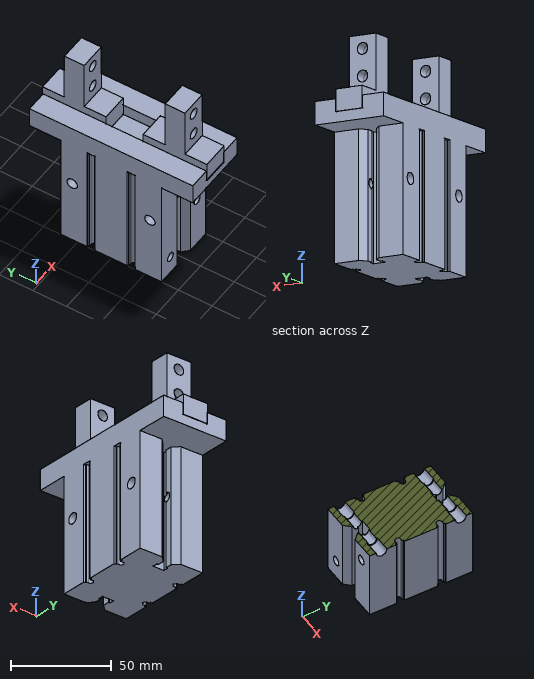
import cadquery as cq

HOUSING_WIDTH = 40.0
BODY_LENGTH = 60.0
BODY_HEIGHT = 66.9
FLANGE_LENGTH = 97.1
FLANGE_TOP = 79.0

JAW_WIDTH = 15.5
JAW_TOP = 113.0
JAW_BOTTOM = 72.3
JAW_SHOULDER = 83.8
JAW_SPAN = 97.7
JAW_BASE_LENGTH = 37.9
POST_LENGTH = 11.9
JAW_HOLE_DIAMETER = 6.0
JAW_HOLE_PITCH = 14.0
JAW_HOLE_FROM_TOP = 7.0
JAW_CENTER = (JAW_SPAN - JAW_BASE_LENGTH) / 2

END_SLOT_WIDTH = 5.0
END_SLOT_CHAMFER = 3.5
END_SLOT_NECK_DEPTH = 7.3
END_SLOT_DEPTH = 10.2
END_SLOT_INNER_WIDTH = 6.8

GROOVE_OFFSET = 12.0
GROOVE_MOUTH_WIDTH = 4.7
GROOVE_MOUTH_DEPTH = 1.0
GROOVE_WIDTH = 3.0
GROOVE_WALL_END = 2.5

MOUNT_HOLE_OFFSET = 23.0
MOUNT_HOLE_HEIGHT = 40.0
MOUNT_HOLE_DIAMETER = 5.1
MOUNT_BORE_DIAMETER = 6.1
MOUNT_BORE_DEPTH = 9.0

PORT_DIAMETER = 5.1
PORT_DEPTH = 9.0
PORT_OFFSET = 12.0
LOWER_PORT_HEIGHT = 11.0
UPPER_PORT_HEIGHT = 31.0


def box_on(bottom, top, width, length):
    """Box centred on the Z axis between two heights."""
    return cq.Workplane("XY").workplane(offset=bottom).rect(width, length).extrude(top - bottom)


def end_slot():
    """Chamfered T-slot entering the -Y end face."""
    neck = END_SLOT_WIDTH / 2
    inner = END_SLOT_INNER_WIDTH / 2
    mouth = neck + END_SLOT_CHAMFER
    face = -BODY_LENGTH / 2
    half_profile = [
        (mouth, face),
        (neck, face + END_SLOT_CHAMFER),
        (neck, face + END_SLOT_NECK_DEPTH),
        (inner, face + END_SLOT_NECK_DEPTH),
        (inner, face + END_SLOT_DEPTH),
    ]
    mirrored = [(-x, y) for x, y in reversed(half_profile)]
    return cq.Workplane("XY").polyline(half_profile + mirrored).close().extrude(BODY_HEIGHT)


def sensor_groove(y):
    """Stepped groove with a round bottom entering the -X side face."""
    face = -HOUSING_WIDTH / 2
    mouth = GROOVE_MOUTH_WIDTH / 2
    wall = GROOVE_WIDTH / 2
    ledge = face + GROOVE_MOUTH_DEPTH
    wall_end = face + GROOVE_WALL_END
    return (
        cq.Workplane("XY")
        .moveTo(face, y - mouth)
        .lineTo(ledge, y - mouth)
        .lineTo(ledge, y - wall)
        .lineTo(wall_end, y - wall)
        .threePointArc((wall_end + wall, y), (wall_end, y + wall))
        .lineTo(ledge, y + wall)
        .lineTo(ledge, y + mouth)
        .lineTo(face, y + mouth)
        .close()
        .extrude(BODY_HEIGHT)
    )


def mounting_hole(y):
    """Through hole along X with a counterbore at each end."""
    plane = cq.Workplane("YZ").workplane(offset=-HOUSING_WIDTH / 2).center(y, MOUNT_HOLE_HEIGHT)
    hole = plane.circle(MOUNT_HOLE_DIAMETER / 2).extrude(HOUSING_WIDTH)
    bore = plane.circle(MOUNT_BORE_DIAMETER / 2).extrude(MOUNT_BORE_DEPTH)
    return hole.union(bore).union(bore.mirror("YZ"))


def air_port(x, z):
    """Blind round port in the -Y end face."""
    port = cq.Workplane("XZ").center(x, z).circle(PORT_DIAMETER / 2).extrude(PORT_DEPTH)
    return port.translate((0, PORT_DEPTH - BODY_LENGTH / 2, 0))


def make_housing():
    housing = box_on(0, BODY_HEIGHT, HOUSING_WIDTH, BODY_LENGTH)
    housing = housing.union(box_on(BODY_HEIGHT, FLANGE_TOP, HOUSING_WIDTH, FLANGE_LENGTH))
    housing = housing.cut(box_on(JAW_BOTTOM, FLANGE_TOP, JAW_WIDTH, FLANGE_LENGTH))
    slot = end_slot()
    housing = housing.cut(slot).cut(slot.mirror("XZ"))
    for side in (-1, 1):
        groove = sensor_groove(side * GROOVE_OFFSET)
        housing = housing.cut(groove).cut(groove.mirror("YZ"))
        housing = housing.cut(mounting_hole(side * MOUNT_HOLE_OFFSET))
    housing = housing.cut(air_port(-PORT_OFFSET, LOWER_PORT_HEIGHT))
    housing = housing.cut(air_port(PORT_OFFSET, UPPER_PORT_HEIGHT))
    return housing


def make_jaw(y):
    """Sliding base with an upright post drilled twice along Y."""
    jaw = box_on(JAW_BOTTOM, JAW_SHOULDER, JAW_WIDTH, JAW_BASE_LENGTH)
    jaw = jaw.union(box_on(JAW_SHOULDER, JAW_TOP, JAW_WIDTH, POST_LENGTH))
    upper_hole = JAW_TOP - JAW_HOLE_FROM_TOP
    for height in (upper_hole, upper_hole - JAW_HOLE_PITCH):
        hole = cq.Workplane("XZ").center(0, height).circle(JAW_HOLE_DIAMETER / 2)
        jaw = jaw.cut(hole.extrude(POST_LENGTH / 2, both=True))
    return jaw.translate((0, y, 0))


housing = make_housing()
jaws = [make_jaw(side * JAW_CENTER) for side in (-1, 1)]

result = cq.Compound.makeCompound([housing.val(), *[jaw.val() for jaw in jaws]])